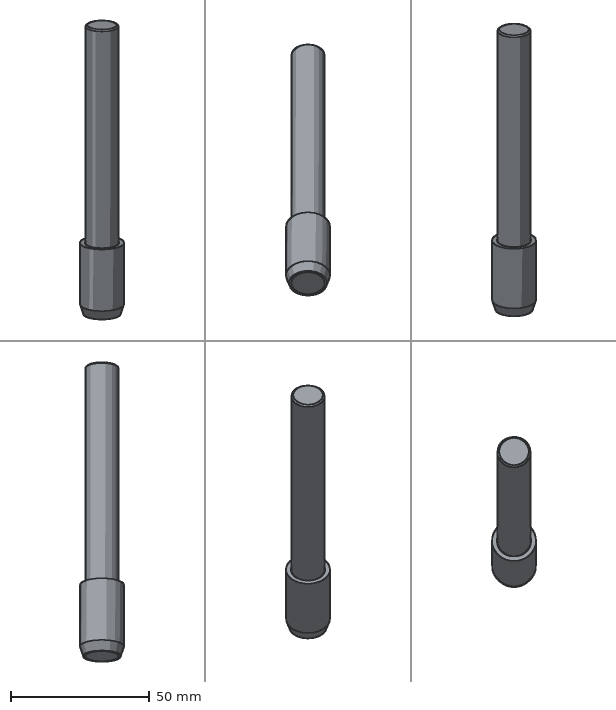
import cadquery as cq

pin_length = 110.0
pin_diameter = 12.0
tip_chamfer_width = 0.7
tip_chamfer_height = 0.5

sleeve_diameter = 16.0
sleeve_length = 27.1
taper_height = 3.6
taper_end_diameter = 13.6

mouth_chamfer = 0.2


def revolve_about_z(profile):
    """Revolve a closed (radius, height) outline around the Z axis."""
    return cq.Workplane("XZ").polyline(profile).close().revolve(360, (0, 0), (0, 1))


def make_pin():
    """Round pin with a small chamfer at its free end."""
    radius = pin_diameter / 2
    return revolve_about_z([
        (0, 0),
        (radius, 0),
        (radius, pin_length - tip_chamfer_height),
        (radius - tip_chamfer_width, pin_length),
        (0, pin_length),
    ])


def make_sleeve():
    """Sleeve with a tapered lower end, bored through for the pin and chamfered at the mouth."""
    bore_radius = pin_diameter / 2
    outer_radius = sleeve_diameter / 2
    return revolve_about_z([
        (bore_radius, 0),
        (taper_end_diameter / 2, 0),
        (outer_radius, taper_height),
        (outer_radius, sleeve_length),
        (bore_radius + mouth_chamfer, sleeve_length),
        (bore_radius, sleeve_length - mouth_chamfer),
    ])


pin = make_pin()
sleeve = make_sleeve()

result = cq.Compound.makeCompound([pin.val(), sleeve.val()])